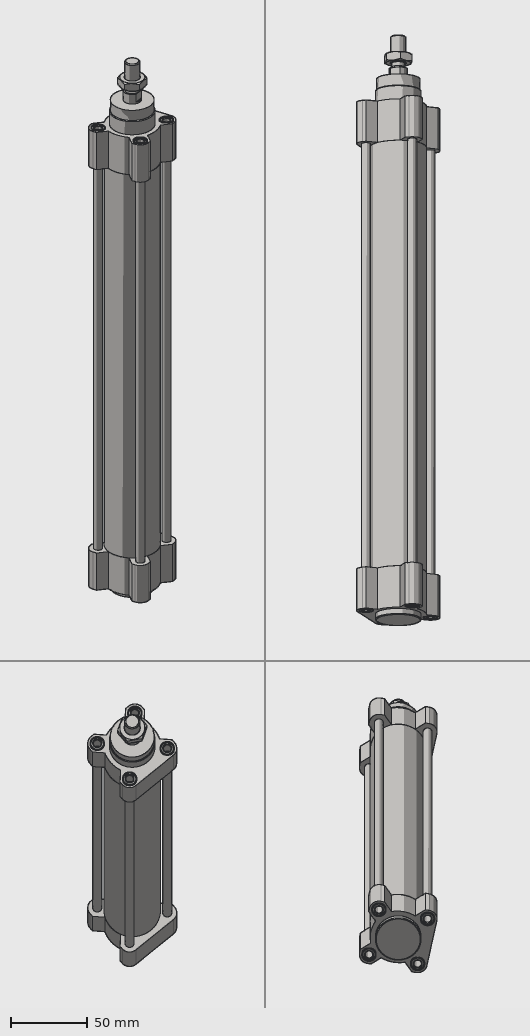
import cadquery as cq
import math

total_length = 395.1

cover_width = 45.0
rod_spacing = 32.5
corner_radius = (cover_width - rod_spacing) / 2
cover_length = 28.0
cover_bulge_reach = 18.3
cover_bulge_radius = 22.0
covers_overall = 344.0

barrel_diameter = 37.0
tie_rod_diameter = 6.0

boss_diameter = 30.0
boss_chamfer = 0.6
rear_boss_height = 4.0
front_boss_height = 18.0
collar_height = 7.6
collar_diameter = 28.8
waist_diameter = 28.4

groove_outer_diameter = 9.5
groove_inner_diameter = 8.2
groove_depth = 1.0
thread_diameter = 6.0
core_diameter = 4.92
socket_depth = 12.0
drill_point_angle = 118.0

piston_rod_diameter = 12.0
rod_flats_width = 10.0
rod_flats_clearance = 1.2
rod_thread_diameter = 10.0
rod_thread_length = 22.0
rod_end_chamfer = 0.75
undercut_diameter = 8.57
flare_diameter = 9.5
flare_length = 1.2

nut_sides = 6
nut_across_flats = 17.0
nut_thickness = 6.0
nut_top_offset = 12.2
nut_chamfer_angle = 30.0
nut_face_diameter = 16.4
bore_chamfer = 0.3

rear_face = rear_boss_height
front_face = rear_face + covers_overall
boss_top = front_face + front_boss_height
rod_shoulder = total_length - rod_thread_length
nut_top = total_length - nut_top_offset
nut_bottom = nut_top - nut_thickness


def cylinder(diameter, bottom, top):
    return cq.Workplane("XY").workplane(offset=bottom).circle(diameter / 2).extrude(top - bottom)


def turned(profile):
    """Solid of revolution about Z from an open (radius, z) half profile."""
    return profile.close().revolve(360, (0, 0, 0), (0, 1, 0))


def side_notch():
    """Material removed from the -Y side: 45 degree walls around a gently curved floor."""
    reach = cover_width / 2
    wall_shift = corner_radius * math.sqrt(2)
    mouth = reach - wall_shift
    bulge_center = cover_bulge_radius - cover_bulge_reach
    bulge = cq.Workplane("XY").center(0, bulge_center).circle(cover_bulge_radius).extrude(cover_length)
    return (
        cq.Workplane("XY")
        .polyline([(-mouth, -reach), (mouth, -reach), (0, -wall_shift)])
        .close()
        .extrude(cover_length)
        .cut(bulge)
    )


def cover():
    """Cover standing on z = 0; the +Y side keeps its full flat face."""
    block = cq.Workplane("XY").rect(cover_width, cover_width).extrude(cover_length)
    block = block.edges("|Z").fillet(corner_radius)
    notch = side_notch()
    for angle in (-90, 0, 90):
        block = block.cut(notch.rotate((0, 0, 0), (0, 0, 1), angle))
    return block


def screw_seat():
    """Material removed at one corner, measured down from z = 0."""
    groove = (
        cq.Workplane("XY")
        .circle(groove_outer_diameter / 2)
        .circle(groove_inner_diameter / 2)
        .extrude(-groove_depth)
    )
    core = core_diameter / 2
    lead_in = thread_diameter / 2
    point = core / math.tan(math.radians(drill_point_angle / 2))
    socket = turned(
        cq.Workplane("XZ").polyline([
            (0, 0),
            (lead_in, 0),
            (core, core - lead_in),
            (core, -socket_depth),
            (0, -socket_depth - point),
        ])
    )
    return groove.union(socket).val()


def corners():
    return cq.Workplane("XY").rect(rod_spacing, rod_spacing, forConstruction=True).vertices()


def front_boss():
    step = boss_top - collar_height
    collar_middle = step + collar_height / 2
    return turned(
        cq.Workplane("XZ")
        .moveTo(0, front_face)
        .lineTo(boss_diameter / 2, front_face)
        .lineTo(boss_diameter / 2, step - boss_chamfer)
        .lineTo(collar_diameter / 2, step)
        .threePointArc((waist_diameter / 2, collar_middle), (collar_diameter / 2, boss_top))
        .lineTo(0, boss_top)
    )


def build_housing():
    body = cylinder(barrel_diameter, rear_face + cover_length, front_face - cover_length)
    body = body.union(cover().translate((0, 0, rear_face)))
    body = body.union(cover().translate((0, 0, front_face - cover_length)))
    tie_rods = corners().circle(tie_rod_diameter / 2).extrude(covers_overall - 2 * cover_length)
    body = body.union(tie_rods.translate((0, 0, rear_face + cover_length)))
    body = body.union(cylinder(boss_diameter, 0, rear_face).faces("<Z").chamfer(boss_chamfer))
    body = body.union(front_boss())
    seats = corners().eachpoint(lambda loc: screw_seat().moved(loc))
    body = body.cut(seats.translate((0, 0, front_face)))
    body = body.cut(seats.mirror("XY").translate((0, 0, rear_face)))
    return body.cut(cylinder(piston_rod_diameter, front_face - cover_length, boss_top))


def build_piston_rod():
    shank = cylinder(piston_rod_diameter, front_face - cover_length, rod_shoulder)
    flats_bottom = boss_top + rod_flats_clearance
    flats_height = rod_shoulder - flats_bottom
    side_depth = (piston_rod_diameter - rod_flats_width) / 2
    for side in (-1, 1):
        flat_x = side * (rod_flats_width + side_depth) / 2
        flat = (
            cq.Workplane("XY")
            .workplane(offset=flats_bottom)
            .center(flat_x, 0)
            .rect(side_depth, piston_rod_diameter)
            .extrude(flats_height)
        )
        shank = shank.cut(flat)
    undercut = turned(
        cq.Workplane("XZ").polyline([
            (0, rod_shoulder),
            (flare_diameter / 2, rod_shoulder),
            (undercut_diameter / 2, rod_shoulder + flare_length),
            (undercut_diameter / 2, nut_bottom),
            (0, nut_bottom),
        ])
    )
    thread = cylinder(rod_thread_diameter, nut_bottom, total_length).faces(">Z").chamfer(rod_end_chamfer)
    return shank.union(undercut).union(thread)


def build_nut():
    corner_diameter = nut_across_flats / math.cos(math.pi / nut_sides)
    hexagon = (
        cq.Workplane("XY")
        .workplane(offset=nut_bottom)
        .polygon(nut_sides, corner_diameter)
        .extrude(nut_thickness)
        .rotate((0, 0, 0), (0, 0, 1), 180 / nut_sides)
    )
    chamfer_width = (corner_diameter - nut_face_diameter) / 2
    chamfer_height = chamfer_width * math.tan(math.radians(nut_chamfer_angle))
    envelope = cylinder(corner_diameter, nut_bottom, nut_top)
    envelope = envelope.faces(">Z").chamfer(chamfer_height, chamfer_width)
    envelope = envelope.faces("<Z").chamfer(chamfer_height, chamfer_width)
    blank = hexagon.intersect(envelope).cut(cylinder(rod_thread_diameter, nut_bottom, nut_top))
    bore_rims = blank.edges("%CIRCLE").edges(cq.selectors.RadiusNthSelector(0))
    return bore_rims.chamfer(bore_chamfer)


housing = build_housing()
piston_rod = build_piston_rod()
nut = build_nut()

result = cq.Compound.makeCompound([body.solids().val() for body in (housing, piston_rod, nut)])